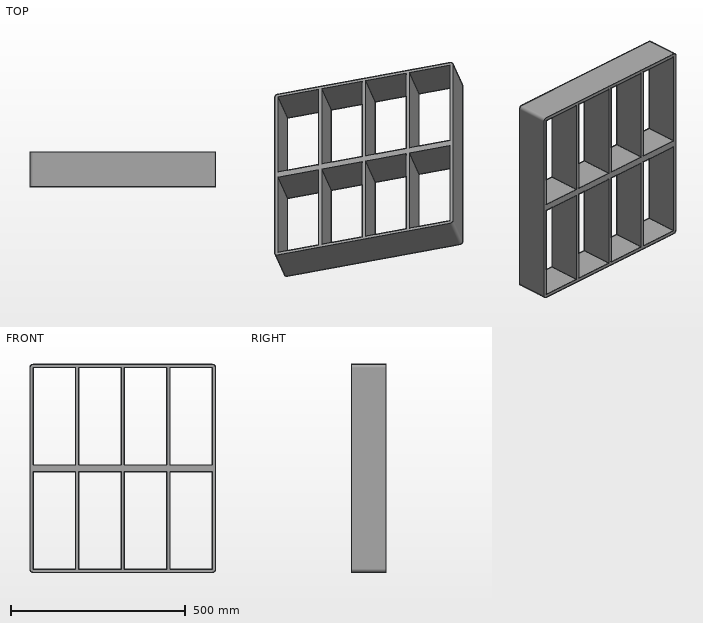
import cadquery as cq

width = 532.0
depth = 100.0
height = 596.0
corner_radius = 10.0

outer_wall = 10.0
divider = 10.0
middle_rail = 20.0

columns = 4
rows = 2
opening_width = (width - 2 * outer_wall - (columns - 1) * divider) / columns
opening_height = (height - 2 * outer_wall - (rows - 1) * middle_rail) / rows


def make_block():
    """Solid slab with its four corners rounded along Y."""
    block = cq.Workplane("XY").box(width, depth, height)
    return block.edges("|Y").fillet(corner_radius)


def make_openings():
    """Grid of rectangular openings that run through the full depth."""
    return (
        cq.Workplane("XY")
        .rarray(opening_width + divider, 1, columns, 1)
        .box(opening_width, depth, opening_height)
    )


def cut_openings(frame):
    """Cut each row of openings, spaced evenly about the middle rail."""
    row_pitch = opening_height + middle_rail
    for row in range(rows):
        row_center = (row - (rows - 1) / 2) * row_pitch
        frame = frame.cut(make_openings().translate((0, 0, row_center)))
    return frame


result = cut_openings(make_block())